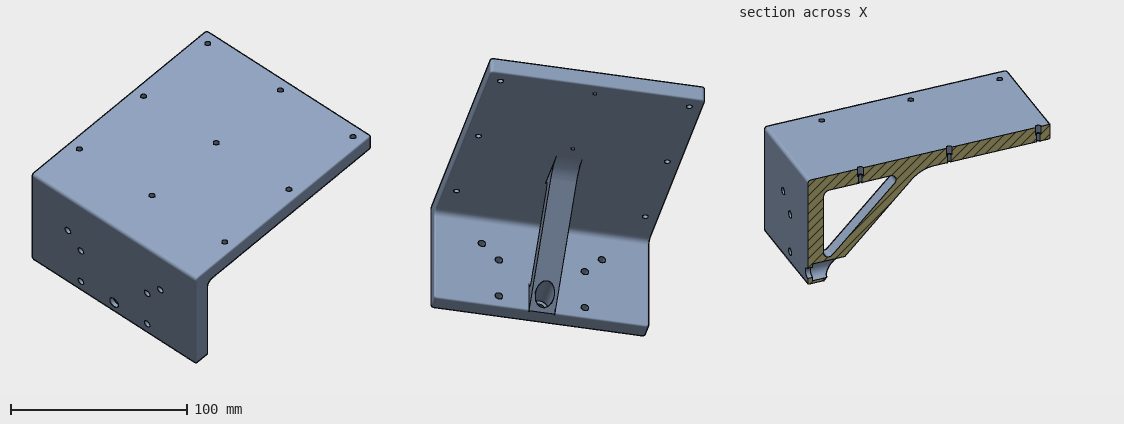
import cadquery as cq
width = 125.0
length = 150.0
height = 70.0
thickness = 10.0
shelf_underside = height - thickness

outer_bend_radius = 2.1
inner_bend_radius = 3.5
corner_radius = 2.0
rim_radius = 0.98

brace_width = 15.0
strut_rise = 11.1
brace_root_radius = 20.0
window_radius = 3.2

shelf_hole_inset = 7.5
shelf_hole_pitch = width / 2 - shelf_hole_inset
shelf_hole_diameter = 3.3
pilot_diameter = 2.0
wide_bore_depth = thickness / 2

wall_hole_diameter = 4.2
lowest_hole_height = 7.5
rectangle_half_width = 25.0
rectangle_height = 25.0
upper_hole_offset = 35.0
upper_hole_rise = 35.0
foot_hole_diameter = 6.5
foot_recess_diameter = 11.0
foot_seat_thickness = 3.0


def extrude_profile(points, span):
    """Extrude a closed YZ outline evenly to both sides of the middle plane."""
    return cq.Workplane("YZ").polyline(points).close().extrude(span / 2, both=True)


def fillet_corner(body, y, z, radius):
    """Round the X-directed edge at the given place in the profile."""
    return body.edges(cq.NearestToPointSelector((0, y, z))).fillet(radius)


def make_angle():
    """Shelf and wall with rounded bends, rounded free corners and rounded rims."""
    outline = [
        (0, 0),
        (0, height),
        (length, height),
        (length, shelf_underside),
        (thickness, shelf_underside),
        (thickness, 0),
    ]
    body = extrude_profile(outline, width)
    body = fillet_corner(body, 0, height, outer_bend_radius)
    body = fillet_corner(body, thickness, shelf_underside, inner_bend_radius)
    body = body.faces(">Y").edges("|Z").fillet(corner_radius)
    body = body.faces("<Z").edges("|Y").fillet(corner_radius)
    return body.faces("<X").fillet(rim_radius)


def make_brace():
    """Triangular web with a rounded root at the shelf and a rounded triangular window."""
    strut_top = thickness + shelf_underside
    buried_y = thickness / 2
    buried_z = shelf_underside + thickness / 2
    root_end = strut_top + brace_root_radius
    web = extrude_profile(
        [
            (buried_y, 0),
            (thickness, 0),
            (strut_top, shelf_underside),
            (root_end, shelf_underside),
            (root_end, buried_z),
            (buried_y, buried_z),
        ],
        brace_width,
    )
    web = fillet_corner(web, strut_top, shelf_underside, brace_root_radius)

    window_end = strut_top - strut_rise
    window = extrude_profile(
        [
            (thickness, strut_rise),
            (thickness, shelf_underside),
            (window_end, shelf_underside),
        ],
        brace_width,
    )
    window = fillet_corner(window, thickness, strut_rise, window_radius)
    window = fillet_corner(window, window_end, shelf_underside, window_radius)
    window = fillet_corner(window, thickness, shelf_underside, inner_bend_radius)
    return web.cut(window)


def shelf_drill(x, y, diameter, bottom):
    """Round cutter from the given level up to the top of the shelf."""
    return cq.Workplane("XY", origin=(x, y, bottom)).circle(diameter / 2).extrude(height - bottom)


def wall_drill(x, z, diameter, start, depth):
    """Round cutter running towards +Y from the given distance behind the wall front."""
    return cq.Workplane("XZ", origin=(x, start, z)).circle(diameter / 2).extrude(-depth)


def cut_shelf_holes(body):
    """Plain through holes in the side columns, stepped through holes in the middle one."""
    for row in range(3):
        y = length - shelf_hole_inset - row * shelf_hole_pitch
        for x in (-shelf_hole_pitch, shelf_hole_pitch):
            body = body.cut(shelf_drill(x, y, shelf_hole_diameter, shelf_underside))
        body = body.cut(shelf_drill(0, y, pilot_diameter, shelf_underside))
        body = body.cut(shelf_drill(0, y, shelf_hole_diameter, height - wide_bore_depth))
    return body


def cut_wall_holes(body):
    """Mirrored pairs of plain through holes."""
    pairs = [
        (rectangle_half_width, lowest_hole_height),
        (rectangle_half_width, lowest_hole_height + rectangle_height),
        (upper_hole_offset, lowest_hole_height + upper_hole_rise),
    ]
    for offset, z in pairs:
        for x in (-offset, offset):
            body = body.cut(wall_drill(x, z, wall_hole_diameter, 0, thickness))
    return body


def cut_foot_hole(body):
    """Large hole that widens behind its seat and runs out through the brace."""
    body = body.cut(wall_drill(0, lowest_hole_height, foot_hole_diameter, 0, thickness))
    return body.cut(
        wall_drill(0, lowest_hole_height, foot_recess_diameter, foot_seat_thickness, length)
    )


bracket = make_angle().union(make_brace())
bracket = cut_shelf_holes(bracket)
bracket = cut_wall_holes(bracket)
result = cut_foot_hole(bracket)